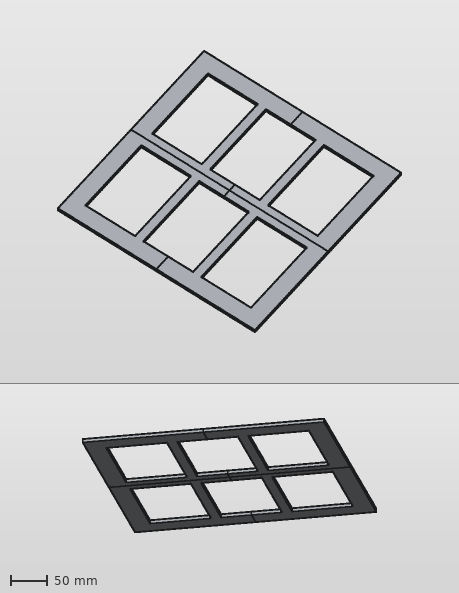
import cadquery as cq

width = 340.0
depth = 333.0
thickness = 5.0

window_width = 85.7
window_depth = 127.0
mullion = 14.3
middle_rail = 24.8
column_pitch = window_width + mullion
row_pitch = window_depth + middle_rail

panel_width = width / 2
panel_depth = depth / 2


def make_windows():
    """Cutters for all six window openings."""
    return (
        cq.Workplane("XY")
        .rarray(column_pitch, row_pitch, 3, 2)
        .rect(window_width, window_depth)
        .extrude(thickness)
    )


def make_panel(x_side, y_side):
    """One quarter of the frame; each side is -1 or 1."""
    center_x = x_side * panel_width / 2
    center_y = y_side * panel_depth / 2
    blank = (
        cq.Workplane("XY")
        .center(center_x, center_y)
        .rect(panel_width, panel_depth)
        .extrude(thickness)
    )
    return blank.cut(make_windows())


panels = [make_panel(x_side, y_side).val() for x_side in (-1, 1) for y_side in (-1, 1)]

result = cq.Compound.makeCompound([solid for panel in panels for solid in panel.Solids()])